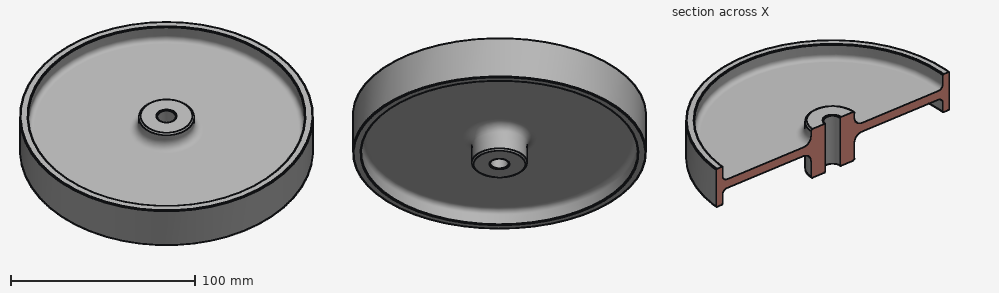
import cadquery as cq
import math

rim_diameter = 159.16
rim_radius = rim_diameter / 2
rim_width = 25.0
rim_inner_radius = 75.0
rim_chamfer = 0.5

web_thickness = 6.0
recess_depth = (rim_width - web_thickness) / 2
rim_fillet = 3.0
hub_fillet = 5.0

hub_radius = 15.0
hub_projection = 7.0
hub_chamfer = 1.0
bore_radius = 5.0
bore_chamfer = 0.5

match_tolerance = 1e-4


def cylinder(radius, bottom, top):
    """Solid cylinder on the Z axis between two heights."""
    return cq.Workplane("XY").workplane(offset=bottom).circle(radius).extrude(top - bottom)


def make_rim():
    """Outer ring with chamfered corners on both end faces."""
    outer = cylinder(rim_radius, 0, rim_width)
    opening = cylinder(rim_inner_radius, 0, rim_width)
    return outer.cut(opening).faces("<Z or >Z").edges().chamfer(rim_chamfer)


def make_hub():
    """Central boss with chamfered ends."""
    hub = cylinder(hub_radius, -hub_projection, rim_width)
    return hub.faces("<Z or >Z").edges().chamfer(hub_chamfer)


def make_web():
    """Disc joining rim and hub."""
    return cylinder(rim_inner_radius, recess_depth, recess_depth + web_thickness)


def web_corners(body, radius):
    """Edges of the given radius where the web faces meet a wall."""
    web_heights = (recess_depth, recess_depth + web_thickness)
    return body.edges("%CIRCLE").filter(
        lambda edge: math.isclose(edge.radius(), radius, abs_tol=match_tolerance)
        and any(math.isclose(edge.Center().z, z, abs_tol=match_tolerance) for z in web_heights)
    )


def cut_bore(body):
    """Through bore with a chamfer at each mouth."""
    bore = cylinder(bore_radius, -hub_projection, rim_width)
    body = body.cut(bore)
    mouths = body.faces("<Z or >Z").edges("%CIRCLE").filter(
        lambda edge: math.isclose(edge.radius(), bore_radius, abs_tol=match_tolerance)
    )
    return mouths.chamfer(bore_chamfer)


wheel = make_rim().union(make_web()).union(make_hub())
wheel = web_corners(wheel, rim_inner_radius).fillet(rim_fillet)
wheel = web_corners(wheel, hub_radius).fillet(hub_fillet)
result = cut_bore(wheel)